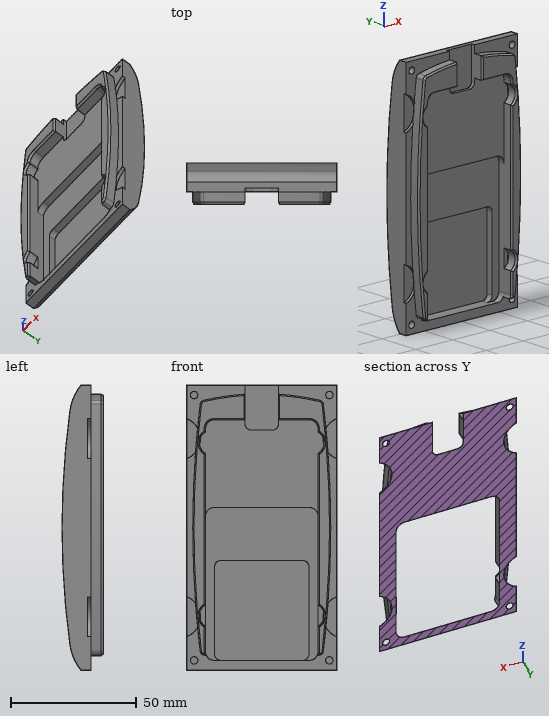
import cadquery as cq
import math

WIDTH = 60.0
LENGTH = 114.0
TOTAL_DEPTH = 16.6
RIM_HEIGHT = 5.0
PLATE_DEPTH = TOTAL_DEPTH - RIM_HEIGHT

BACK_RADIUS = 347.7
BACK_END_RADIUS = 20.5
BACK_ARC_HALF_LENGTH = 46.7

RIM_HALF_WIDTH = 27.6
RIM_HALF_LENGTH = 53.6
RIM_SIDE_RADIUS = 410.4
RIM_END_RADIUS = 102.6
RIM_CORNER_RADIUS = 1.8
RIM_EDGE_WIDTH = 0.51
RIM_EDGE_HEIGHT = 1.0

OPENING_WIDTH = 45.0
OPENING_TOP = 43.1
OPENING_BOTTOM = -53.0
OPENING_RADIUS = 3.5

RELIEF_RADIUS = 5.0
RELIEF_X = 20.0
RELIEF_HEIGHTS = (-35.1, 34.0)

POCKET_STEP = 3.0
POCKET_TOP = 8.1
INNER_POCKET_WIDTH = 37.7
INNER_POCKET_TOP = -13.1
INNER_POCKET_RADIUS = 2.5

NOTCH_WIDTH = 13.3
NOTCH_BOTTOM = 39.0
NOTCH_DEPTH = 1.6
NOTCH_RADIUS = 2.5

SCALLOP_RADIUS = 8.5
SCALLOP_X = 33.1
SCALLOP_Z = 35.6
SCALLOP_DEPTH = 1.5

HOLE_DIAMETER = 3.0
HOLE_DEPTH = 3.0
HOLE_X = 27.0
HOLE_Z = 53.0


def front_plane(y):
    """Sketch plane at depth y: local x is X, local y is Z, extruding towards -Y."""
    return cq.Workplane("XZ", origin=(0, y, 0))


def block(width, bottom, top, depth_from, depth_to):
    """Box centred on X, from z = bottom to top and y = depth_from to depth_to."""
    size_y = depth_to - depth_from
    centre = (0, (depth_from + depth_to) / 2, (bottom + top) / 2)
    return cq.Workplane("XY").box(width, size_y, top - bottom).translate(centre)


def disc(radius, x, z, depth_from, depth_to):
    """Cylinder along Y from y = depth_from to depth_to."""
    return front_plane(depth_to).center(x, z).circle(radius).extrude(depth_to - depth_from)


def flared_cutter(outline, x, z):
    """Cutter through the rim that widens at its front face to bevel the edge it leaves."""
    flare_angle = math.degrees(math.atan(RIM_EDGE_WIDTH / RIM_EDGE_HEIGHT))
    straight = front_plane(0).center(x, z).placeSketch(outline).extrude(RIM_HEIGHT)
    flare = front_plane(RIM_EDGE_HEIGHT - RIM_HEIGHT).center(x, z).placeSketch(outline)
    return straight.union(flare.extrude(RIM_EDGE_HEIGHT, taper=-flare_angle))


def make_plate():
    main_centre = PLATE_DEPTH - BACK_RADIUS
    join_angle = math.asin(BACK_ARC_HALF_LENGTH / BACK_RADIUS)
    end_y = main_centre + (BACK_RADIUS - BACK_END_RADIUS) * math.cos(join_angle)
    end_z = (BACK_RADIUS - BACK_END_RADIUS) * math.sin(join_angle)
    edge_angle = math.asin((LENGTH / 2 - end_z) / BACK_END_RADIUS)

    def end_arc_point(angle, side):
        y = end_y + BACK_END_RADIUS * math.cos(angle)
        z = end_z + BACK_END_RADIUS * math.sin(angle)
        return (y, side * z)

    middle_angle = (join_angle + edge_angle) / 2
    profile = (
        cq.Workplane("YZ", origin=(-WIDTH / 2, 0, 0))
        .moveTo(0, -LENGTH / 2)
        .lineTo(*end_arc_point(edge_angle, -1))
        .threePointArc(end_arc_point(middle_angle, -1), end_arc_point(join_angle, -1))
        .threePointArc((PLATE_DEPTH, 0), end_arc_point(join_angle, 1))
        .threePointArc(end_arc_point(middle_angle, 1), end_arc_point(edge_angle, 1))
        .lineTo(0, LENGTH / 2)
        .close()
    )
    return profile.extrude(WIDTH)


def make_rim():
    side_offset = RIM_SIDE_RADIUS - RIM_HALF_WIDTH
    end_offset = RIM_END_RADIUS - RIM_HALF_LENGTH
    rim = disc(RIM_SIDE_RADIUS, side_offset, 0, -RIM_HEIGHT, 0)
    rim = rim.intersect(disc(RIM_SIDE_RADIUS, -side_offset, 0, -RIM_HEIGHT, 0))
    rim = rim.intersect(disc(RIM_END_RADIUS, 0, end_offset, -RIM_HEIGHT, 0))
    rim = rim.intersect(disc(RIM_END_RADIUS, 0, -end_offset, -RIM_HEIGHT, 0))
    rim = rim.edges("|Y").fillet(RIM_CORNER_RADIUS)
    rim = rim.faces("<Y").edges().chamfer(RIM_EDGE_WIDTH, RIM_EDGE_HEIGHT)

    opening = cq.Sketch().rect(OPENING_WIDTH, OPENING_TOP - OPENING_BOTTOM)
    opening = opening.vertices().fillet(OPENING_RADIUS)
    rim = rim.cut(flared_cutter(opening, 0, (OPENING_TOP + OPENING_BOTTOM) / 2))
    relief = cq.Sketch().circle(RELIEF_RADIUS)
    for z in RELIEF_HEIGHTS:
        for side in (-1, 1):
            rim = rim.cut(flared_cutter(relief, side * RELIEF_X, z))

    gap = cq.Sketch().rect(NOTCH_WIDTH, LENGTH / 2 - NOTCH_BOTTOM)
    rim = rim.cut(flared_cutter(gap, 0, (LENGTH / 2 + NOTCH_BOTTOM) / 2))
    open_width = OPENING_WIDTH - 2 * OPENING_RADIUS
    open_top = OPENING_BOTTOM + OPENING_RADIUS
    return rim.cut(block(open_width, -LENGTH / 2, open_top, -RIM_HEIGHT, 0))


def make_pockets():
    outer = block(OPENING_WIDTH, OPENING_BOTTOM, POCKET_TOP, 0, POCKET_STEP)
    outer = outer.edges("|Y").fillet(OPENING_RADIUS)
    inner = block(INNER_POCKET_WIDTH, OPENING_BOTTOM, INNER_POCKET_TOP, 0, 2 * POCKET_STEP)
    inner = inner.edges("|Y").fillet(INNER_POCKET_RADIUS)
    return outer.union(inner)


def make_notch():
    notch = block(NOTCH_WIDTH, NOTCH_BOTTOM, LENGTH / 2, 0, NOTCH_DEPTH)
    return notch.edges("|Y and <Z").fillet(NOTCH_RADIUS)


plate = make_plate().cut(make_pockets()).cut(make_notch())
for x_side in (-1, 1):
    for z_side in (-1, 1):
        plate = plate.cut(
            disc(SCALLOP_RADIUS, x_side * SCALLOP_X, z_side * SCALLOP_Z, 0, SCALLOP_DEPTH)
        )
        plate = plate.cut(
            disc(HOLE_DIAMETER / 2, x_side * HOLE_X, z_side * HOLE_Z, 0, HOLE_DEPTH)
        )

result = plate.union(make_rim()).solids()